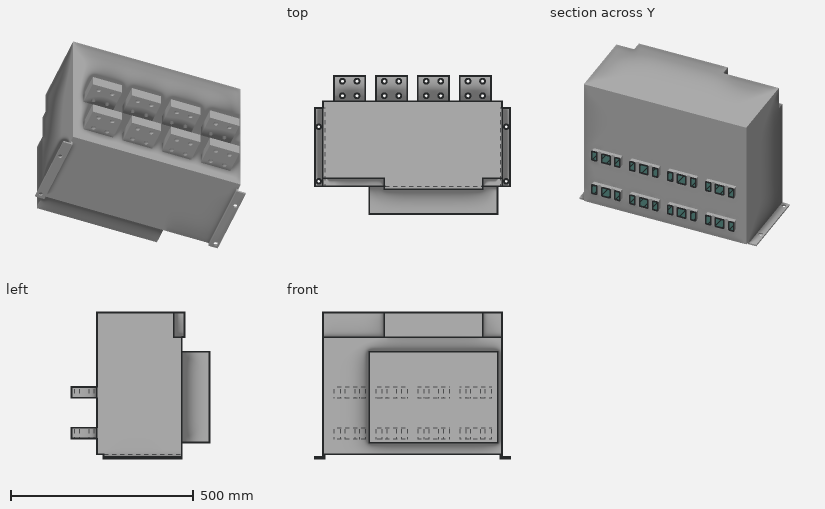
import cadquery as cq

overall_width = 537.0
overall_depth = 380.0
overall_height = 402.0

cabinet_width = 493.0
cabinet_depth = 234.0
ground_clearance = 11.5

front_center_x = 57.5
cover_width = 353.0
cover_height = 250.0
cover_bottom = 44.0
cover_depth = 76.0
hood_width = 270.0
hood_height = 68.0
hood_overhang = 7.5
ledge_depth = 23.0

foot_thickness = 5.0
foot_length = 216.0
foot_flange = (overall_width - cabinet_width) / 2
foot_hole_diameter = 12.0
foot_hole_spacing = 150.0
foot_hole_front_offset = 14.0

terminal_count = 4
terminal_pitch = 115.0
terminal_width = 86.5
terminal_thickness = 30.0
terminal_length = overall_depth - cabinet_depth - cover_depth
terminal_bottoms = (55.0, 167.0)
terminal_hole_diameter = 13.0
terminal_hole_spacing = 40.0
terminal_hole_end_offset = 15.0


def block(center_x, front_y, bottom_z, width, depth, height):
    """Box centred on center_x, running back from front_y and up from bottom_z."""
    box = cq.Workplane("XY").box(width, depth, height, centered=(True, False, False))
    return box.translate((center_x, front_y, bottom_z))


def make_cabinet():
    """Main body with its upper front edge stepped back, leaving a ledge."""
    body = block(0, 0, ground_clearance, cabinet_width, cabinet_depth, overall_height - ground_clearance)
    step = block(0, 0, overall_height - hood_height, cabinet_width, ledge_depth, hood_height)
    return body.cut(step)


def make_hood():
    """Raised part above the ledge that overhangs the cabinet front."""
    hood_depth = hood_overhang + ledge_depth
    hood_bottom = overall_height - hood_height
    return block(front_center_x, -hood_overhang, hood_bottom, hood_width, hood_depth, hood_height)


def make_cover():
    """Rectangular cover on the cabinet front."""
    return block(front_center_x, -cover_depth, cover_bottom, cover_width, cover_depth, cover_height)


def make_foot(side):
    """L-shaped foot with two bolt holes; side is -1 for left and +1 for right."""
    web_x = side * (cabinet_width - foot_thickness) / 2
    flange_x = side * (cabinet_width + foot_flange) / 2
    web = block(web_x, 0, 0, foot_thickness, foot_length, ground_clearance)
    flange = block(flange_x, 0, 0, foot_flange, foot_length, foot_thickness)
    hole_points = [
        (flange_x, foot_hole_front_offset),
        (flange_x, foot_hole_front_offset + foot_hole_spacing),
    ]
    holes = cq.Workplane("XY").pushPoints(hole_points).circle(foot_hole_diameter / 2).extrude(foot_thickness)
    return web.union(flange).cut(holes)


def make_terminal(center_x, bottom_z):
    """Terminal bar on the cabinet back with a square pattern of four bolt holes."""
    bar = block(center_x, cabinet_depth, bottom_z, terminal_width, terminal_length, terminal_thickness)
    pattern_y = cabinet_depth + terminal_length - terminal_hole_end_offset - terminal_hole_spacing / 2
    holes = (
        cq.Workplane("XY", origin=(center_x, pattern_y, bottom_z))
        .rarray(terminal_hole_spacing, terminal_hole_spacing, 2, 2)
        .circle(terminal_hole_diameter / 2)
        .extrude(terminal_thickness)
    )
    return bar.cut(holes)


result = make_cabinet().union(make_hood()).union(make_cover())

for foot_side in (-1, 1):
    result = result.union(make_foot(foot_side))

for row_bottom in terminal_bottoms:
    for index in range(terminal_count):
        terminal_x = (index - (terminal_count - 1) / 2) * terminal_pitch
        result = result.union(make_terminal(terminal_x, row_bottom))